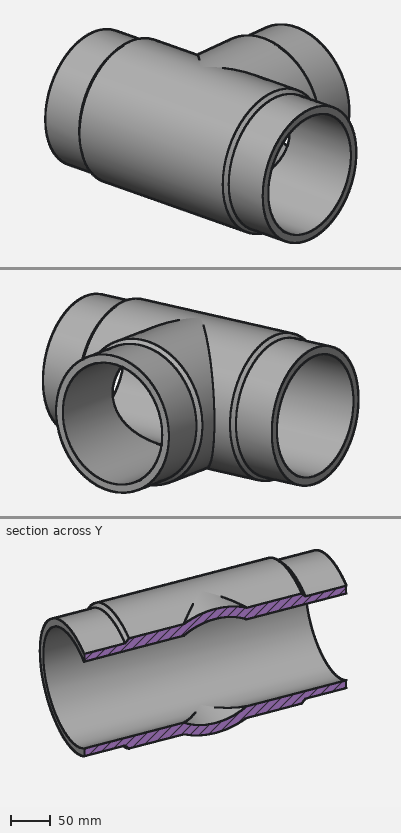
import cadquery as cq

pipe_diameter = 180.0
wall = 10.7
run_length = 365.0
spigot_length = 57.0

reach = run_length / 2
pipe_radius = pipe_diameter / 2
bore_radius = pipe_radius - wall
body_radius = pipe_radius + wall / 2
shoulder = body_radius - pipe_radius
shoulder_start = reach - spigot_length

run_plane = cq.Plane(origin=(0, 0, 0), xDir=(0, -1, 0), normal=(0, 0, 1))
branch_plane = cq.Plane(origin=(0, 0, 0), xDir=(-1, 0, 0), normal=(0, 0, -1))


def revolved(plane, profile):
    """Revolve a (radius, distance along axis) profile about the local y axis of the plane."""
    return cq.Workplane(plane).polyline(profile).close().revolve(360, (0, 0, 0), (0, 1, 0))


def outer_profile():
    """Half of an arm outline, from the body past the shoulder to the spigot end."""
    return [
        (body_radius, shoulder_start - shoulder),
        (pipe_radius, shoulder_start),
        (pipe_radius, reach),
        (0, reach),
    ]


def bore_profile():
    """Half of a bore outline, at the open end of an arm."""
    return [(bore_radius, reach), (0, reach)]


def tee(arm_profile):
    """Run mirrored about the tee centre, joined to a branch that starts on the run axis."""
    radius = arm_profile[0][0]
    mirrored = [(r, -distance) for r, distance in reversed(arm_profile)]
    run = revolved(run_plane, mirrored + arm_profile)
    branch = revolved(branch_plane, [(0, 0), (radius, 0)] + arm_profile)
    return run.union(branch)


result = tee(outer_profile()).cut(tee(bore_profile()))